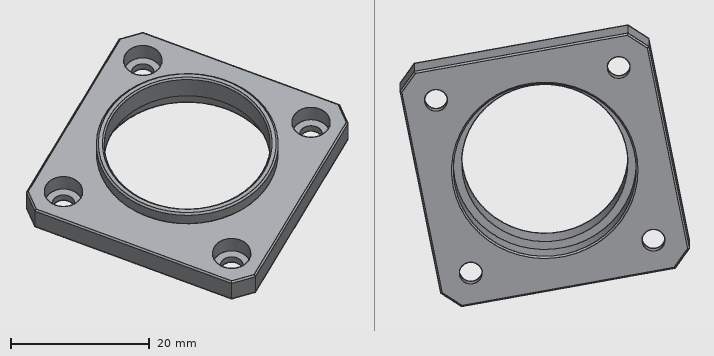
import cadquery as cq

plate_side = 36.58
plate_thickness = 4.1
corner_cut = 2.6
plate_edge_chamfer = 0.25

total_height = 7.25
neck_diameter = 24.73
lip_diameter = 26.25
lip_height = 2.23
lip_chamfer = 0.3

bore_diameter = 24.0
bore_chamfer = 0.25
socket_diameter = 26.4
socket_depth = 3.25
socket_chamfer = 0.25

hole_spacing = 26.85
hole_diameter = 3.3
counterbore_diameter = 5.52
counterbore_depth = 2.85


def make_plate():
    """Square plate with cut corners and chamfered top and bottom rims."""
    plate = cq.Workplane("XY").rect(plate_side, plate_side).extrude(plate_thickness)
    plate = plate.edges("|Z").chamfer(corner_cut)
    return plate.faces("<Z or >Z").edges().chamfer(plate_edge_chamfer)


def make_spigot():
    """Neck and lip, with the top rim of the lip chamfered."""
    neck = cq.Workplane("XY").circle(neck_diameter / 2).extrude(total_height)
    lip = (
        cq.Workplane("XY", origin=(0, 0, total_height - lip_height))
        .circle(lip_diameter / 2)
        .extrude(lip_height)
        .faces(">Z")
        .chamfer(lip_chamfer)
    )
    return neck.union(lip)


def make_opening():
    """Solid of revolution removed from the centre, chamfered at both mouths."""
    bore_radius = bore_diameter / 2
    socket_radius = socket_diameter / 2
    return (
        cq.Workplane("XZ")
        .moveTo(0, 0)
        .lineTo(socket_radius + socket_chamfer, 0)
        .lineTo(socket_radius, socket_chamfer)
        .lineTo(socket_radius, socket_depth)
        .lineTo(bore_radius, socket_depth)
        .lineTo(bore_radius, total_height - bore_chamfer)
        .lineTo(bore_radius + bore_chamfer, total_height)
        .lineTo(0, total_height)
        .close()
        .revolve(360, (0, 0, 0), (0, 1, 0))
    )


def add_screw_holes(body):
    """Counterbored through holes, sunk from the top face of the plate."""
    return (
        body.copyWorkplane(cq.Workplane("XY", origin=(0, 0, plate_thickness)))
        .rect(hole_spacing, hole_spacing, forConstruction=True)
        .vertices()
        .cboreHole(hole_diameter, counterbore_diameter, counterbore_depth)
    )


plate_with_holes = add_screw_holes(make_plate())
result = plate_with_holes.union(make_spigot()).cut(make_opening())